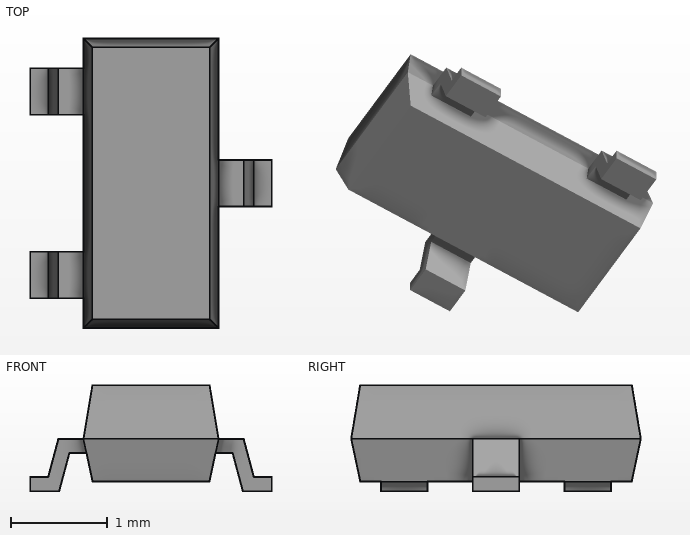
import cadquery as cq
import math


body_width = 1.4
body_length = 3.0
standoff = 0.1
total_height = 1.1
parting_height = 0.545
upper_draft = 9.5
lower_draft = 12.0

lead_span = 2.5
lead_width = 0.485
lead_thickness = 0.15
lead_pitch = 1.9
foot_length = 0.3
foot_top_length = 0.185
shank_lean = 15.0
lead_root = body_width / 4


def body_half(height, draft):
    """Half of the body, narrowing from the parting plane; negative height goes down."""
    return (
        cq.Workplane("XY")
        .workplane(offset=parting_height)
        .rect(body_width, body_length)
        .extrude(height, taper=draft)
    )


def make_body():
    upper = body_half(total_height - parting_height, upper_draft)
    lower = body_half(standoff - parting_height, lower_draft)
    return upper.union(lower)


def make_lead(y_center):
    """Gull-wing lead on the +X side: foot, leaning shank and flat shoulder."""
    tip = lead_span / 2
    heel = tip - foot_length
    foot_top_end = tip - foot_top_length
    shoulder_bottom = parting_height - lead_thickness
    shank_run = shoulder_bottom * math.tan(math.radians(shank_lean))
    profile = [
        (tip, 0),
        (tip, lead_thickness),
        (foot_top_end, lead_thickness),
        (foot_top_end - shank_run, parting_height),
        (lead_root, parting_height),
        (lead_root, shoulder_bottom),
        (heel - shank_run, shoulder_bottom),
        (heel, 0),
    ]
    return (
        cq.Workplane("XZ", origin=(0, y_center, 0))
        .polyline(profile)
        .close()
        .extrude(lead_width / 2, both=True)
    )


result = make_body().union(make_lead(0))
for side in (-1, 1):
    left_lead = make_lead(side * lead_pitch / 2).mirror("YZ")
    result = result.union(left_lead)